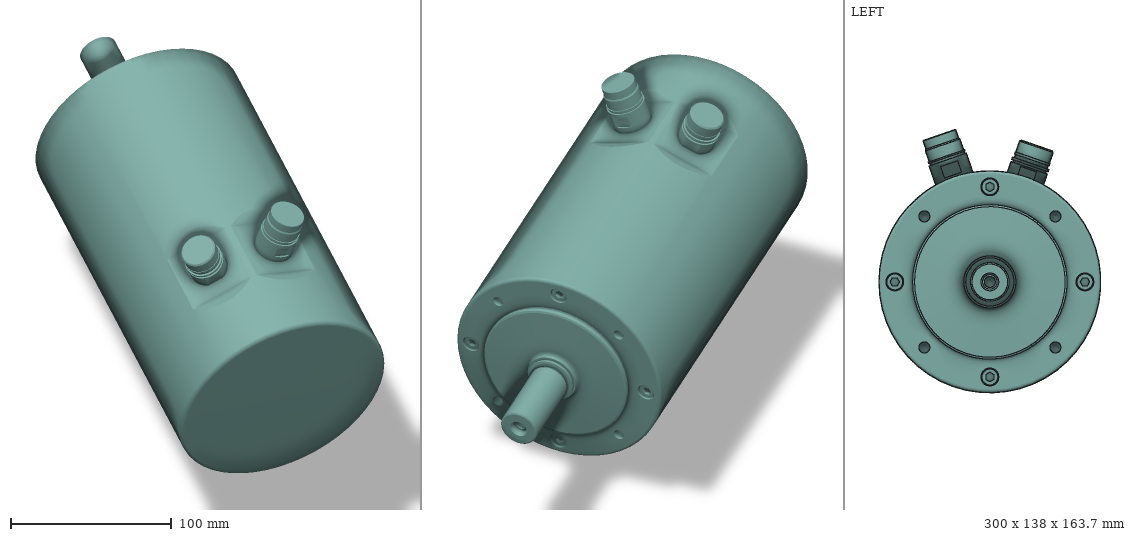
import cadquery as cq
import math


barrel_radius = 69.0
barrel_length = 235.5
front_edge_fillet = 2.0
rear_edge_fillet = 2.7
rear_cone_height = 1.2

pilot_radius = 48.0
pilot_front = 5.5
pilot_chamfer_width = 0.5
pilot_chamfer_depth = 1.2
relief_width = 2.5
relief_depth = 0.5
cone_tip_radius = 19.0
cone_front = 7.5
shoulder_radius = 16.2
shoulder_fillet_front = 10.2
shoulder_front = 10.8
neck_groove_radius = 14.5
neck_groove_front = 12.3
lip_radius = 15.0
lip_front = 13.5
lip_chamfer_width = 0.3
lip_bore_radius = 13.5

shaft_radius = 12.0
shaft_tip_front = 63.3
shaft_tip_chamfer_width = 0.5
shaft_tip_chamfer_depth = 1.0
undercut_radius = 11.0
undercut_front = 15.3
undercut_run = 1.0

centre_countersink_diameter = 11.0
centre_countersink_depth = 1.8
centre_mouth_diameter = 9.0
centre_drill_diameter = 7.0
centre_mouth_depth = 4.5
centre_drill_depth = 15.0

hole_count = 4
mount_circle_radius = 57.5
mount_hole_diameter = 7.0
mount_hole_depth = 12.0
drill_point_angle = 118.0
screw_circle_radius = 59.0
screw_recess_diameter = 11.0
screw_recess_depth = 6.0
screw_head_diameter = 10.0
screw_head_gap = 1.2
socket_sides = 6
socket_width = 5.0
socket_depth = 2.5

connector_x = 167.7
connector_tilt = 19.0
pocket_width = 41.5
pocket_floor_height = math.sqrt(barrel_radius**2 - (pocket_width / 2)**2)
pocket_floor_length = 41.7
pocket_end_run = 9.3

large_top_height = 96.5
large_top_chamfer = 0.3
large_cap_radius = 10.8
large_sleeve_radius = 11.5
large_sleeve_top = 91.0
large_sleeve_chamfer = 1.0
large_collar_radius = 12.0
large_collar_top = 82.8
large_collar_bottom = 82.0
large_groove_radius = 11.5
large_base_radius = 12.3
large_base_top = 80.5
large_flat_width = 22.0
large_flat_bottom = 70.2
large_flat_top = 77.7

small_top_height = 89.7
small_top_chamfer = 1.0
small_sleeve_radius = 11.0
small_collar_radius = 11.5
small_collar_top = 81.5
small_collar_bottom = 80.0
small_groove_radius = 10.8
small_rim_radius = 12.0
small_rim_top = 78.0
small_rim_bottom = 76.5
small_base_radius = 12.0
small_base_top = 75.0
small_flat_width = 21.5
small_flat_top = 74.0


def revolve_about_x(points):
    """Revolve an (X, radius) outline about the motor axis."""
    return cq.Workplane("XY").polyline(points).close().revolve(360, (0, 0, 0), (1, 0, 0))


def revolve_about_z(points):
    """Revolve a (radius, height) outline about the Z axis."""
    return cq.Workplane("XZ").polyline(points).close().revolve(360, (0, 0, 0), (0, 1, 0))


def place_connector(shape, tilt):
    """Move a shape from the Z axis to the connector position and tilt it about the motor axis."""
    return shape.translate((connector_x, 0, 0)).rotate((0, 0, 0), (1, 0, 0), tilt)


def make_motor_blank():
    """Barrel, pilot, cover cone, neck and shaft as one turned outline in (X, radius)."""
    profile = (
        cq.Workplane("XY")
        .moveTo(-shaft_tip_front, 0)
        .lineTo(-shaft_tip_front, shaft_radius - shaft_tip_chamfer_depth)
        .lineTo(-shaft_tip_front + shaft_tip_chamfer_width, shaft_radius)
        .lineTo(-undercut_front, shaft_radius)
        .lineTo(-undercut_front + undercut_run, undercut_radius)
        .lineTo(-lip_front, undercut_radius)
        .lineTo(-lip_front, lip_bore_radius)
        .lineTo(-lip_front + lip_chamfer_width, lip_radius)
        .lineTo(-neck_groove_front, lip_radius)
        .lineTo(-neck_groove_front, neck_groove_radius)
        .lineTo(-shoulder_front, neck_groove_radius)
        .lineTo(-shoulder_front, shoulder_radius)
        .lineTo(-shoulder_fillet_front, shoulder_radius)
        .tangentArcPoint((-cone_front, cone_tip_radius), relative=False)
        .lineTo(-pilot_front, pilot_radius - pilot_chamfer_depth)
        .lineTo(-pilot_front + pilot_chamfer_width, pilot_radius)
        .lineTo(-relief_width, pilot_radius)
        .lineTo(-relief_width, pilot_radius - relief_depth)
        .lineTo(0, pilot_radius - relief_depth)
        .lineTo(0, barrel_radius - front_edge_fillet)
        .tangentArcPoint((front_edge_fillet, barrel_radius), relative=False)
        .lineTo(barrel_length - rear_edge_fillet, barrel_radius)
        .tangentArcPoint((barrel_length, barrel_radius - rear_edge_fillet), relative=False)
        .lineTo(barrel_length + rear_cone_height, 0)
        .close()
    )
    return profile.revolve(360, (0, 0, 0), (1, 0, 0))


def make_pointed_drill(face_x, diameter, depth):
    """Drill with a conical point, entering along +X from face_x on the motor axis."""
    radius = diameter / 2
    point = radius / math.tan(math.radians(drill_point_angle / 2))
    return revolve_about_x([
        (face_x, 0), (face_x, radius), (face_x + depth, radius), (face_x + depth + point, 0),
    ])


def make_centre_hole():
    """Countersunk centre hole with a wider mouth, in the shaft end."""
    mouth_radius = centre_mouth_diameter / 2
    countersink_radius = centre_countersink_diameter / 2
    countersink = revolve_about_x([
        (-shaft_tip_front, 0),
        (-shaft_tip_front, countersink_radius),
        (-shaft_tip_front + centre_countersink_depth, mouth_radius),
        (-shaft_tip_front + centre_mouth_depth, mouth_radius),
        (-shaft_tip_front + centre_mouth_depth, 0),
    ])
    return countersink.union(make_pointed_drill(-shaft_tip_front, centre_drill_diameter, centre_drill_depth))


def make_screw_recess():
    """Counterbore that leaves a sunk socket-screw head standing in it."""
    recess = cq.Workplane("YZ").circle(screw_recess_diameter / 2).extrude(screw_recess_depth)
    head = (cq.Workplane("YZ").workplane(offset=screw_head_gap)
            .circle(screw_head_diameter / 2).extrude(screw_recess_depth - screw_head_gap))
    corner_diameter = socket_width / math.cos(math.pi / socket_sides)
    socket = (cq.Workplane("YZ").workplane(offset=screw_head_gap)
              .polygon(socket_sides, corner_diameter).extrude(socket_depth))
    return recess.cut(head).union(socket)


def ring_of_holes(tool, circle_radius, start_angle):
    """Equally spaced copies of a hole tool around the motor axis."""
    ring = []
    for index in range(hole_count):
        angle = start_angle + index * 360 / hole_count
        ring.append(tool.translate((0, circle_radius, 0)).rotate((0, 0, 0), (1, 0, 0), angle))
    return ring


def make_pocket():
    """Flat-floored cut across the barrel with sloping ends, upright on the Z axis."""
    depth = barrel_radius - pocket_floor_height
    half_floor = pocket_floor_length / 2
    overcut = 3
    half_top = half_floor + overcut * pocket_end_run
    top = pocket_floor_height + overcut * depth
    outline = [
        (-half_floor, pocket_floor_height), (half_floor, pocket_floor_height),
        (half_top, top), (-half_top, top),
    ]
    return cq.Workplane("XZ").polyline(outline).close().extrude(barrel_radius, both=True)


def make_motor():
    """Housing and shaft as one body with its holes, sunk screw heads and connector pockets."""
    motor = make_motor_blank().cut(make_centre_hole())
    drill = make_pointed_drill(0, mount_hole_diameter, mount_hole_depth)
    for hole in ring_of_holes(drill, mount_circle_radius, 180 / hole_count):
        motor = motor.cut(hole)
    for recess in ring_of_holes(make_screw_recess(), screw_circle_radius, 0):
        motor = motor.cut(recess)
    for tilt in (connector_tilt, -connector_tilt):
        motor = motor.cut(place_connector(make_pocket(), tilt))
    return motor


def cut_wrench_flats(shape, width, bottom, top):
    """Cut two flats, facing -X and +X, between two heights."""
    for side in (-1, 1):
        cutter = (cq.Workplane("XY").box(width, 2 * width, top - bottom, centered=(True, True, False))
                  .translate((side * width, 0, bottom)))
        shape = shape.cut(cutter)
    return shape


def make_large_connector():
    """Tall stepped connector standing on the pocket floor, upright on the Z axis."""
    body = revolve_about_z([
        (0, pocket_floor_height),
        (large_base_radius, pocket_floor_height),
        (large_base_radius, large_base_top),
        (large_groove_radius, large_base_top),
        (large_groove_radius, large_collar_bottom),
        (large_collar_radius, large_collar_bottom),
        (large_collar_radius, large_collar_top),
        (large_sleeve_radius, large_collar_top),
        (large_sleeve_radius, large_sleeve_top - large_sleeve_chamfer),
        (large_cap_radius, large_sleeve_top),
        (large_cap_radius, large_top_height - large_top_chamfer),
        (large_cap_radius - large_top_chamfer, large_top_height),
        (0, large_top_height),
    ])
    return cut_wrench_flats(body, large_flat_width, large_flat_bottom, large_flat_top)


def make_small_connector():
    """Short ribbed connector standing on the pocket floor, upright on the Z axis."""
    body = revolve_about_z([
        (0, pocket_floor_height),
        (small_base_radius, pocket_floor_height),
        (small_base_radius, small_base_top),
        (small_groove_radius, small_base_top),
        (small_groove_radius, small_rim_bottom),
        (small_rim_radius, small_rim_bottom),
        (small_rim_radius, small_rim_top),
        (small_groove_radius, small_rim_top),
        (small_groove_radius, small_collar_bottom),
        (small_collar_radius, small_collar_bottom),
        (small_collar_radius, small_collar_top),
        (small_sleeve_radius, small_collar_top),
        (small_sleeve_radius, small_top_height - small_top_chamfer),
        (small_sleeve_radius - small_top_chamfer, small_top_height),
        (0, small_top_height),
    ])
    return cut_wrench_flats(body, small_flat_width, pocket_floor_height, small_flat_top)


motor = make_motor()
large_connector = place_connector(make_large_connector(), -connector_tilt)
small_connector = place_connector(make_small_connector(), connector_tilt)

result = cq.Compound.makeCompound([motor.val(), large_connector.val(), small_connector.val()])